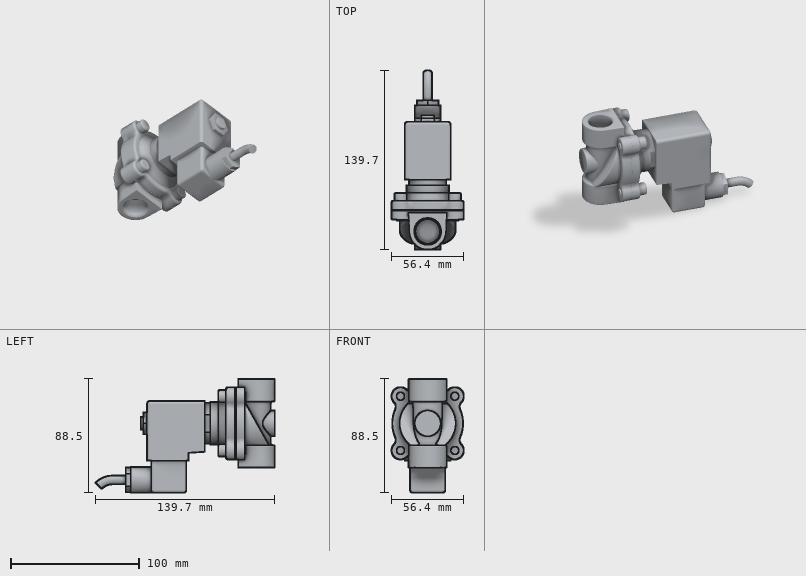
import cadquery as cq
import math


overall_length = 139.7
clearance = 0.1
trim_size = 2 * overall_length

port_end_z = 34.5
port_inner_z = 16.9
port_radius = 14.2
port_back_y = 14.4
port_end_fillet = 0.8
port_inner_fillet = 1.4
neck_radius = 11.0
neck_fillet = 1.4
casting_draft = 3.0
bore_radius = 9.5
bore_depth = port_end_z - port_inner_z
bore_chamfer = 1.0

bowl_radius = 21.8
bowl_slope = 29.2
bowl_slope_y = -0.1
bowl_ledge = 0.8
bowl_fillet = 0.8
plug_radius = 10.0
plug_fillet = 0.5

flange_front_y = 9.2
joint_y = 16.5
flange_back_y = 24.0
flange_radius = 27.7
bolt_offset = 21.1
ear_radius = 7.1
ear_blend = 4.5
flange_front_fillet = 0.8
cover_fillet = 1.8
seam_width = 0.8
seam_depth = 0.3
bolt_head_radius = 4.9
bolt_head_back_y = 29.9
bolt_head_fillet = 1.3
stud_radius = 3.1
stud_projection = 0.8
stud_fillet = 0.5

cone_base_radius = 23.0
collar_radius = 16.6
collar_back_y = 36.0
nut_radius = 16.0
nut_flat_x = 14.5

coil_width = 35.9
coil_front_y = 40.2
coil_back_y = 85.3
coil_top_z = 17.5
coil_bottom_z = -28.9
coil_step_y = 53.0
coil_step_z = -23.0
coil_front_bottom_z = -22.2
coil_fillet = 2.5
coil_nut_circumradius = 9.9
coil_nut_back_y = 88.0
button_radius = 5.0
button_back_y = 90.2
button_fillet = 0.5

connector_width = 27.5
connector_front_y = 54.6
connector_back_y = 82.0
connector_bottom_z = -54.0
connector_fillet = 2.2
gland_radius = 10.0
gland_z = connector_bottom_z + gland_radius
gland_back_y = 98.0
gland_hex_circumradius = 9.8
gland_hex_back_y = 101.8
cable_radius = 3.5
cable_bend_start_y = 111.9
cable_bend_angle = 45.0


def plane_at(y, z=0.0):
    """Plane at height z facing +Y, with local x = -X and local y = +Z."""
    return cq.Workplane(cq.Plane(origin=(0, y, z), xDir=(-1, 0, 0), normal=(0, 1, 0)))


def disc(radius, y_start, y_end, z=0.0):
    return plane_at(y_start, z).circle(radius).extrude(y_end - y_start)


def hexagon(circumradius, y_start, y_end, z=0.0, turn=0.0):
    return (
        plane_at(y_start, z)
        .transformed(rotate=(0, 0, turn))
        .polygon(6, 2 * circumradius)
        .extrude(y_end - y_start)
    )


def drafted_profile(radius, back_y, z_start, z_end):
    """Rounded front with drafted sides that widen towards a flat back."""
    draft = math.radians(casting_draft)
    tangent_x = radius * math.cos(draft)
    tangent_y = -radius * math.sin(draft)
    back_x = tangent_x + (back_y - tangent_y) * math.tan(draft)
    return (
        cq.Workplane("XY", origin=(0, 0, z_start))
        .moveTo(-back_x, back_y)
        .lineTo(-tangent_x, tangent_y)
        .threePointArc((0, -radius), (tangent_x, tangent_y))
        .lineTo(back_x, back_y)
        .close()
        .extrude(z_end - z_start)
    )


def make_port():
    """Upper port, rounded at both ends except along its flat back."""
    port = drafted_profile(port_radius, port_back_y, port_inner_z, port_end_z)
    not_back = cq.selectors.BoxSelector(
        (-2 * port_radius, -2 * port_radius, 0),
        (2 * port_radius, port_back_y - clearance, port_end_z + clearance),
    )
    port = port.faces("<Z").edges(not_back).fillet(port_inner_fillet)
    return port.faces(">Z").edges(not_back).fillet(port_end_fillet)


def make_bowl():
    """Cylinder along Y cut by a plane that slopes forward and down to the lower port."""
    bowl = disc(bowl_radius, -2 * bowl_radius, flange_back_y)
    slope = math.radians(bowl_slope)
    cut_normal = (0, -math.cos(slope), math.sin(slope))
    cut_plane = cq.Plane(origin=(0, bowl_slope_y, 0), xDir=(1, 0, 0), normal=cut_normal)
    front_waste = cq.Workplane(cut_plane).rect(trim_size, trim_size).extrude(trim_size)
    bowl = bowl.cut(front_waste).faces("<Y").edges().fillet(bowl_fillet)
    ledge = disc(bowl_radius, flange_front_y - bowl_ledge, joint_y)
    below_port_face = cq.Workplane("XY", origin=(0, 0, -port_inner_z))
    lower_waste = below_port_face.rect(trim_size, trim_size).extrude(-trim_size)
    return bowl.cut(lower_waste).union(ledge)


def make_body():
    neck = drafted_profile(neck_radius, port_back_y, -port_inner_z, port_inner_z)
    upper_port = make_port()
    lower_port = upper_port.mirror("XY")
    plug = disc(plug_radius, -port_radius, 0).faces("<Y").edges().fillet(plug_fillet)
    body = neck.union(upper_port).union(lower_port)
    neck_zone = cq.selectors.BoxSelector(
        (-port_radius + port_inner_fillet, -neck_radius, -port_inner_z - clearance),
        (port_radius - port_inner_fillet, port_back_y - clearance, port_inner_z + clearance),
    )
    body = body.edges("#Z").edges(neck_zone).fillet(neck_fillet)
    return body.union(make_bowl()).union(plug)


def flange_plate(y_start, y_end, inset=0.0):
    """Round plate with four bolt ears blended into it."""
    length = y_end - y_start
    ears = (
        plane_at(y_start)
        .rect(2 * bolt_offset, 2 * bolt_offset, forConstruction=True)
        .vertices()
        .circle(ear_radius - inset)
        .extrude(length)
    )
    plate = disc(flange_radius - inset, y_start, y_end).union(ears)
    return plate.edges("|Y").fillet(ear_blend + inset)


def make_flange():
    body_side = flange_plate(flange_front_y, joint_y)
    body_side = body_side.faces("<Y").edges().fillet(flange_front_fillet)
    cover_side = flange_plate(joint_y, flange_back_y)
    cover_side = cover_side.faces(">Y").edges().fillet(cover_fillet)
    flange = body_side.union(cover_side)
    seam_start = joint_y - seam_width / 2
    seam_end = joint_y + seam_width / 2
    seam = disc(2 * flange_radius, seam_start, seam_end).cut(
        flange_plate(seam_start, seam_end, seam_depth)
    )
    return flange.cut(seam)


def make_bolts():
    head = disc(bolt_head_radius, joint_y, bolt_head_back_y)
    head = head.faces(">Y").edges().fillet(bolt_head_fillet)
    stud = disc(stud_radius, flange_front_y - stud_projection, joint_y)
    stud = stud.faces("<Y").edges().fillet(stud_fillet)
    bolt = head.union(stud)
    bolts = cq.Workplane()
    for x in (-bolt_offset, bolt_offset):
        for z in (-bolt_offset, bolt_offset):
            bolts = bolts.add(bolt.translate((x, 0, z)))
    return bolts.combine()


def make_cover():
    cone = (
        cq.Workplane("XY")
        .moveTo(0, flange_back_y)
        .lineTo(cone_base_radius, flange_back_y)
        .lineTo(collar_radius, bolt_head_back_y)
        .lineTo(collar_radius, collar_back_y)
        .lineTo(0, collar_back_y)
        .close()
        .revolve(360, (0, 0, 0), (0, 1, 0))
    )
    flats = cq.Workplane("XY").box(2 * nut_flat_x, trim_size, trim_size)
    return cone.union(disc(nut_radius, collar_back_y, coil_front_y).intersect(flats))


def make_coil():
    housing = (
        cq.Workplane("YZ", origin=(-coil_width / 2, 0, 0))
        .moveTo(coil_front_y, coil_top_z)
        .lineTo(coil_back_y, coil_top_z)
        .lineTo(coil_back_y, coil_bottom_z)
        .lineTo(coil_step_y, coil_bottom_z)
        .lineTo(coil_step_y, coil_step_z)
        .lineTo(coil_front_y, coil_front_bottom_z)
        .close()
        .extrude(coil_width)
    )
    housing = housing.edges("(>Z and |Y) or (>Y and |Z) or (>Y and >Z)").fillet(coil_fillet)
    nut = hexagon(coil_nut_circumradius, coil_back_y, coil_nut_back_y)
    button = disc(button_radius, coil_back_y, button_back_y)
    button = button.faces(">Y").edges().fillet(button_fillet)
    return housing.union(nut).union(button)


def make_connector():
    length = connector_back_y - connector_front_y
    height = coil_bottom_z - connector_bottom_z
    block = cq.Workplane("XY").box(
        connector_width, length, height, centered=(True, False, False)
    )
    block = block.translate((0, connector_front_y, connector_bottom_z))
    block = block.edges("|Z or <Z").fillet(connector_fillet)
    gland_start_y = connector_back_y - connector_fillet
    gland = disc(gland_radius, gland_start_y, gland_back_y, gland_z)
    gland_hex = hexagon(gland_hex_circumradius, gland_back_y, gland_hex_back_y, gland_z, 30)
    return block.union(gland).union(gland_hex)


def make_cable():
    """Straight cable ending in a downward bend whose tip sets the overall length."""
    bend = math.radians(cable_bend_angle)
    tip_y = overall_length - port_radius
    bend_radius = (tip_y - cable_bend_start_y) / math.sin(bend) - cable_radius
    straight = disc(cable_radius, gland_hex_back_y, cable_bend_start_y, gland_z)
    bent = (
        plane_at(cable_bend_start_y, gland_z)
        .circle(cable_radius)
        .revolve(cable_bend_angle, (0, -bend_radius, 0), (1, -bend_radius, 0))
    )
    return straight.union(bent)


def make_bore():
    """Blind hole down from the upper port end, with a lead-in."""
    chamfer_radius = bore_radius + bore_chamfer
    return (
        cq.Workplane("XZ")
        .moveTo(0, port_end_z)
        .lineTo(chamfer_radius, port_end_z)
        .lineTo(bore_radius, port_end_z - bore_chamfer)
        .lineTo(bore_radius, port_end_z - bore_depth)
        .lineTo(0, port_end_z - bore_depth)
        .close()
        .revolve(360, (0, 0, 0), (0, 1, 0))
    )


result = make_body().union(make_flange()).union(make_bolts()).union(make_cover())
result = result.union(make_coil()).union(make_connector()).union(make_cable())
bore = make_bore()
result = result.cut(bore).cut(bore.mirror("XY"))